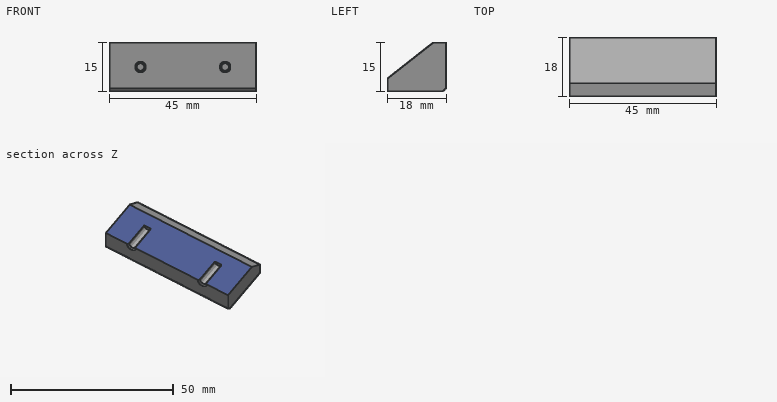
import cadquery as cq

length = 45.0
depth = 18.0
height = 15.0

top_width = 4.0
rear_height = 4.0
edge_chamfer = 1.0

hole_diameter = 2.3
countersink_diameter = 3.3
countersink_angle = 90.0
hole_depth = 9.0
hole_spacing = 26.0

front_y = -depth / 2
rear_y = depth / 2
bottom_z = -height / 2
top_z = height / 2


def wedge_body():
    """Bar with a sloped rear and a chamfered lower front edge."""
    profile = [
        (front_y + edge_chamfer, bottom_z),
        (rear_y, bottom_z),
        (rear_y, bottom_z + rear_height),
        (front_y + top_width, top_z),
        (front_y, top_z),
        (front_y, bottom_z + edge_chamfer),
    ]
    return cq.Workplane("YZ").polyline(profile).close().extrude(length / 2, both=True)


def drill_front_holes(body):
    """Two countersunk holes at mid-height, symmetric about the middle of the length."""
    centres = [(-hole_spacing / 2, 0), (hole_spacing / 2, 0)]
    return (
        body.copyWorkplane(cq.Workplane("XZ", origin=(0, front_y, 0)))
        .pushPoints(centres)
        .cskHole(hole_diameter, countersink_diameter, countersink_angle, depth=hole_depth)
    )


result = drill_front_holes(wedge_body())